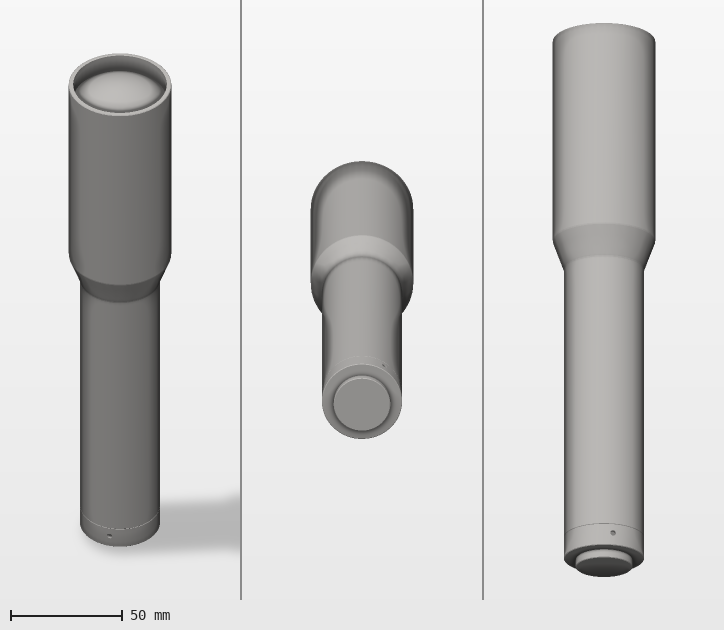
import cadquery as cq
import math

total_length = 252.19

thread_diameter = 25.4
relief_diameter = 24.6
relief_width = 0.5
thread_length = 4.0
mount_length = 10.0

edge_chamfer = 0.3

barrel_diameter = 36.0
head_diameter = 46.0
neck_angle = 20.0
neck_bottom = 142.5
neck_blend_radius = 2.0

bore_diameter = 42.0

lens_apex_depth = 0.5
lens_sphere_radius = 31.0
lens_edge_thickness = 5.0

hole_diameter = 2.5
hole_depth = 1.5
hole_count = 3
hole_height = 9.8
first_hole_angle = 90.0

thread_radius = thread_diameter / 2
relief_radius = relief_diameter / 2
barrel_radius = barrel_diameter / 2
head_radius = head_diameter / 2
bore_radius = bore_diameter / 2
relief_bottom = thread_length - relief_width
mount_top = thread_length + mount_length
neck_height = (head_radius - barrel_radius) / math.tan(math.radians(neck_angle))
neck_top = neck_bottom + neck_height
lens_apex = total_length - lens_apex_depth


def dome_height_at(radius):
    """Height of the lens dome surface at a distance from the axis."""
    return lens_apex - lens_sphere_radius + math.sqrt(lens_sphere_radius**2 - radius**2)


lens_rim = dome_height_at(bore_radius)
lens_back = lens_rim - lens_edge_thickness


def revolve_about_z(profile):
    return profile.close().revolve(360, (0, 0, 0), (0, 1, 0))


def make_outside():
    """Solid of revolution for the thread, mount, barrel, flared neck and head."""
    profile = (
        cq.Workplane("XZ")
        .lineTo(thread_radius - edge_chamfer, 0)
        .lineTo(thread_radius, edge_chamfer)
        .lineTo(thread_radius, relief_bottom)
        .lineTo(relief_radius, relief_bottom)
        .lineTo(relief_radius, thread_length)
        .lineTo(barrel_radius - edge_chamfer, thread_length)
        .lineTo(barrel_radius, thread_length + edge_chamfer)
        .lineTo(barrel_radius, mount_top)
        .lineTo(barrel_radius - edge_chamfer, mount_top)
        .lineTo(barrel_radius, mount_top + edge_chamfer)
        .lineTo(barrel_radius, neck_bottom)
        .lineTo(head_radius, neck_top)
        .lineTo(head_radius, total_length - edge_chamfer)
        .lineTo(head_radius - edge_chamfer, total_length)
        .lineTo(0, total_length)
    )
    neck_region = cq.selectors.BoxSelector(
        (-head_radius, -head_radius, neck_bottom - neck_blend_radius),
        (head_radius, head_radius, neck_top + neck_blend_radius),
    )
    neck_edges = revolve_about_z(profile).edges("%CIRCLE").edges(neck_region)
    return neck_edges.fillet(neck_blend_radius)


def make_lens_opening():
    """Blind front bore whose flat floor carries the lens."""
    return revolve_about_z(
        cq.Workplane("XZ")
        .moveTo(0, lens_back)
        .lineTo(bore_radius, lens_back)
        .lineTo(bore_radius, total_length)
        .lineTo(0, total_length)
    )


def make_screw_hole(angle):
    return (
        cq.Workplane("YZ", origin=(barrel_radius - hole_depth, 0, hole_height))
        .circle(hole_diameter / 2)
        .extrude(barrel_diameter)
        .rotate((0, 0, 0), (0, 0, 1), angle)
    )


def make_housing():
    body = make_outside().cut(make_lens_opening())
    for index in range(hole_count):
        body = body.cut(make_screw_hole(first_hole_angle + index * 360 / hole_count))
    return body


def make_lens():
    """Plano-convex lens at the bottom of the bore, with the dome towards the front rim."""
    middle_radius = bore_radius / 2
    return revolve_about_z(
        cq.Workplane("XZ")
        .moveTo(0, lens_back)
        .lineTo(bore_radius, lens_back)
        .lineTo(bore_radius, lens_rim)
        .threePointArc((middle_radius, dome_height_at(middle_radius)), (0, lens_apex))
    )


housing = make_housing()
lens = make_lens()
result = cq.Compound.makeCompound([housing.val(), lens.val()])